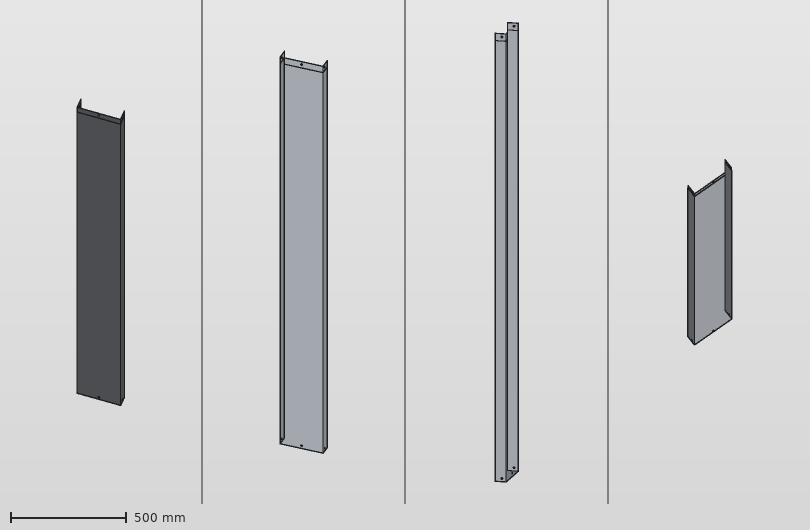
import cadquery as cq

length = 1999.0
width = 202.0
depth = 50.0
sheet = 1.0
bend_radius = 1.2

neck_length = 32.0
neck_inset = 0.8
step_overlap = sheet
flange_ramp_height = 4.0
main_length = length - neck_length

hole_diameter = 7.0
hole_end_distance = 15.0
flange_hole_y = 20.0


def channel(inset, z_bottom, height):
    """Sharp-cornered sheet channel, open toward +Y, moved inward by the inset."""
    outer_width = width - 2 * inset
    outer = cq.Workplane("XY").box(
        outer_width, depth - inset, height, centered=(True, False, False)
    )
    hollow = (
        cq.Workplane("XY")
        .box(outer_width - 2 * sheet, depth, height, centered=(True, False, False))
        .translate((0, sheet, 0))
    )
    return outer.cut(hollow).translate((0, inset, z_bottom))


def flange_ramp(side):
    """Sloped wedge easing one flange from the main channel in to the neck."""
    outer_x = side * width / 2
    inner_x = side * (width / 2 - sheet)
    neck_x = side * (width / 2 - neck_inset)
    return (
        cq.Workplane("XZ", origin=(0, bend_radius, 0))
        .moveTo(inner_x, main_length)
        .lineTo(outer_x, main_length)
        .lineTo(neck_x, main_length + flange_ramp_height)
        .lineTo(inner_x, main_length + flange_ramp_height)
        .close()
        .extrude(-(depth - bend_radius))
    )


def hole_cutters(z):
    """Cross holes through the web and both flanges at one height."""
    web_hole = (
        cq.Workplane("XZ")
        .center(0, z)
        .circle(hole_diameter / 2)
        .extrude(-depth)
    )
    flange_hole = (
        cq.Workplane("YZ")
        .center(flange_hole_y, z)
        .circle(hole_diameter / 2)
        .extrude(width / 2, both=True)
    )
    return web_hole.union(flange_hole)


main_channel = channel(0, 0, main_length).edges("|Z and <Y").fillet(bend_radius)

neck = channel(neck_inset, main_length - step_overlap, neck_length + step_overlap)
result = main_channel.union(neck)

for side in (-1, 1):
    result = result.union(flange_ramp(side))

for hole_z in (hole_end_distance, length - hole_end_distance):
    result = result.cut(hole_cutters(hole_z))